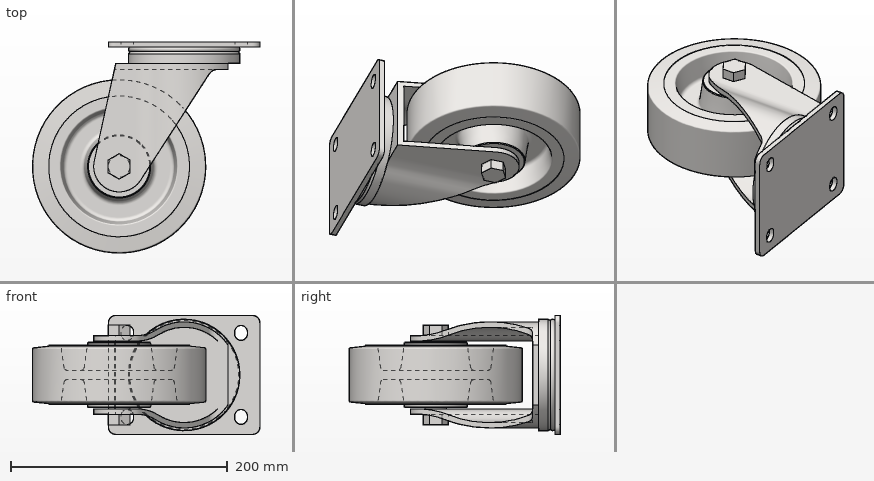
import cadquery as cq
import math


plate_length = 140.0
plate_width = 110.0
plate_thickness = 5.0
plate_corner_radius = 7.0
slot_spacing_x = 105.0
slot_spacing_z = 77.5
slot_width = 11.5
slot_length = 13.5

ring_radius = 103.04 / 2
ring_bottom = 20.0
lip_radius = ring_radius
lip_chamfer_width = 0.5
lip_rise = 0.2
lip_start = 6.3
lip_crest = 7.2
groove_radius = 50.3
groove_bottom = 9.1
groove_end = 11.4

arm_thickness = 5.0
arm_inner_z = 31.3
arm_outer_z = arm_inner_z + arm_thickness
dome_radius = 49.0
bend_radius = 32.0
base_thickness = 5.6
base_bottom = ring_bottom + base_thickness
base_front_x = 40.5
fork_rear_x = -63.2
arm_front_corner_x = 25.8
arm_end_radius = 23.5
arm_front_fillet = 9.5

axle_x = -60.0
axle_y = -115.0
spacer_diameter = 20.02
bolt_width_across_flats = 20.3
bolt_end_z = 46.0

tyre_radius = 80.0
tyre_edge_half_width = 25.0
tyre_edge_fillet = 1.4
tyre_crown_half_width = 26.6
rim_radius = 65.0
rim_half_width = 27.5
rim_fillet = 0.5
pocket_mouth_radius = 53.9
pocket_mouth_fillet = 1.3
pocket_floor_radius = 50.6
pocket_floor_fillet = 3.8
web_half_thickness = 4.0
hub_half_width = 30.2
hub_top_radius = 29.1
hub_base_radius = 32.6
hub_chamfer = 0.8
hub_floor_fillet = 4.0
match_tolerance = 0.01


def slab(sketch, y_top, y_bottom):
    """Extrude an XZ outline between two depths below the mounting face."""
    return sketch.extrude(y_bottom - y_top).translate((0, -y_top, 0))


def make_plate():
    plate = slab(cq.Workplane("XZ").rect(plate_length, plate_width), 0, plate_thickness)
    plate = plate.edges("|Y").fillet(plate_corner_radius)
    slots = (
        cq.Workplane("XZ")
        .rect(slot_spacing_x, slot_spacing_z, forConstruction=True)
        .vertices()
        .slot2D(slot_length, slot_width, 90)
        .extrude(plate_thickness)
    )
    return plate.cut(slots)


def make_ring():
    """Revolved ring: a rounded seal lip under the plate, then a sharp groove above the main band."""
    lip_edge_radius = lip_radius - lip_rise
    return (
        cq.Workplane("XY")
        .moveTo(0, -plate_thickness)
        .lineTo(lip_radius - lip_chamfer_width, -plate_thickness)
        .lineTo(lip_edge_radius, -lip_start)
        .threePointArc((lip_radius, -lip_crest), (groove_radius, -groove_bottom))
        .lineTo(ring_radius, -groove_end)
        .lineTo(ring_radius, -ring_bottom)
        .lineTo(0, -ring_bottom)
        .close()
        .revolve(360, (0, 0, 0), (0, 1, 0))
    )


def fork_plan(inset, front_x):
    """XZ outline of the fork: straight flanks that bend out into a dome around the swivel axis.

    The inset moves the whole outline inwards, which gives the inner faces of the arms.
    """
    flank_z = arm_outer_z - inset
    dome = dome_radius - inset
    bend = bend_radius + inset
    bend_z = flank_z + bend
    bend_x = -math.sqrt((dome + bend) ** 2 - bend_z ** 2)
    join_x = bend_x * dome / (dome + bend)
    join_z = bend_z * dome / (dome + bend)
    half_bend_angle = math.atan2(-bend_x, bend_z) / 2
    mid_x = bend_x + bend * math.sin(half_bend_angle)
    mid_z = bend_z - bend * math.cos(half_bend_angle)
    front_z = math.sqrt(dome ** 2 - front_x ** 2)
    rear_x = axle_x - 2 * arm_end_radius
    return (
        cq.Workplane("XZ")
        .moveTo(rear_x, flank_z)
        .lineTo(bend_x, flank_z)
        .threePointArc((mid_x, mid_z), (join_x, join_z))
        .threePointArc((0, dome), (front_x, front_z))
        .lineTo(front_x, -front_z)
        .threePointArc((0, -dome), (join_x, -join_z))
        .threePointArc((mid_x, -mid_z), (bend_x, -flank_z))
        .lineTo(rear_x, -flank_z)
        .close()
    )


def tangent_point(x, y, side):
    """Point where the line from (x, y) touches the round arm end; side is -1 rear, 1 front."""
    dx = x - axle_x
    dy = y - axle_y
    angle = math.atan2(dy, dx) - side * math.acos(arm_end_radius / math.hypot(dx, dy))
    return (axle_x + arm_end_radius * math.cos(angle), axle_y + arm_end_radius * math.sin(angle))


def make_fork():
    rear_tangent = tangent_point(fork_rear_x, -ring_bottom, -1)
    front_tangent = tangent_point(arm_front_corner_x, -base_bottom, 1)
    side = (
        cq.Workplane("XY")
        .moveTo(fork_rear_x, -ring_bottom)
        .lineTo(*rear_tangent)
        .threePointArc((axle_x, axle_y - arm_end_radius), front_tangent)
        .lineTo(arm_front_corner_x, -base_bottom)
        .lineTo(base_front_x, -base_bottom)
        .lineTo(base_front_x, -ring_bottom)
        .close()
        .extrude(dome_radius, both=True)
    )
    corner = cq.selectors.NearestToPointSelector((arm_front_corner_x, -base_bottom, 0))
    side = side.edges("|Z").edges(corner).fillet(arm_front_fillet)
    arm_bottom = arm_end_radius - axle_y
    body = slab(fork_plan(0, base_front_x), ring_bottom, arm_bottom)
    opening = slab(fork_plan(arm_thickness, base_front_x), base_bottom, arm_bottom)
    return body.intersect(side).cut(opening)


def make_axle():
    spacer = cq.Workplane("XY").circle(spacer_diameter / 2).extrude(arm_inner_z, both=True)
    bolt_corner_diameter = bolt_width_across_flats / math.cos(math.pi / 6)
    hexagon = cq.Workplane("XY").transformed(rotate=(0, 0, 30)).polygon(6, bolt_corner_diameter)
    bolt = hexagon.extrude(bolt_end_z - arm_inner_z)
    upper_bolt = bolt.translate((0, 0, arm_inner_z))
    lower_bolt = upper_bolt.mirror("XY")
    return spacer.union(upper_bolt).union(lower_bolt).translate((axle_x, axle_y, 0))


def fillet_circle(body, radius, z, size):
    """Fillet the horizontal circular edge that has the given radius and height."""
    matches = [
        edge
        for edge in body.edges("%CIRCLE").vals()
        if abs(edge.radius() - radius) < match_tolerance and abs(edge.Center().z - z) < match_tolerance
    ]
    return body.newObject(matches).fillet(size)


def make_wheel():
    """Revolve the upper half section, drawn as radius and Z, and mirror it downwards."""
    half = (
        cq.Workplane("XZ")
        .lineTo(tyre_radius, 0)
        .lineTo(tyre_radius, tyre_edge_half_width)
        .lineTo(rim_radius, tyre_crown_half_width)
        .lineTo(rim_radius, rim_half_width)
        .lineTo(pocket_mouth_radius, rim_half_width)
        .lineTo(pocket_floor_radius, web_half_thickness)
        .lineTo(hub_base_radius, web_half_thickness)
        .lineTo(hub_top_radius, hub_half_width - hub_chamfer)
        .lineTo(hub_top_radius - hub_chamfer, hub_half_width)
        .lineTo(0, hub_half_width)
        .close()
        .revolve(360, (0, 0, 0), (0, 1, 0))
    )

    rounded_circles = [
        (tyre_radius, tyre_edge_half_width, tyre_edge_fillet),
        (rim_radius, rim_half_width, rim_fillet),
        (pocket_mouth_radius, rim_half_width, pocket_mouth_fillet),
        (pocket_floor_radius, web_half_thickness, pocket_floor_fillet),
        (hub_base_radius, web_half_thickness, hub_floor_fillet),
    ]
    for radius, z, size in rounded_circles:
        half = fillet_circle(half, radius, z, size)
    wheel = half.union(half.mirror("XY"))
    return wheel.translate((axle_x, axle_y, 0))


result = make_plate().union(make_ring()).union(make_fork()).union(make_axle()).union(make_wheel())